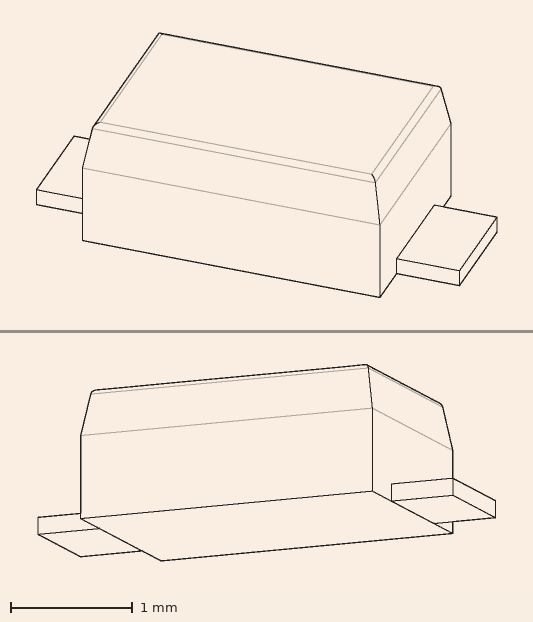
import cadquery as cq
import math

overall_length = 3.7

housing_length = 2.6
housing_width = 1.7
housing_height = 1.1
shoulder_height = 0.7
draft_angle = 10.0
top_edge_radius = 0.05

lead_width = 0.9
lead_thickness = 0.145
lead_length = (overall_length - housing_length) / 2


def make_housing():
    """Straight-walled block with a tapered upper part and a rounded top rim."""
    taper_height = housing_height - shoulder_height
    taper_inset = taper_height * math.tan(math.radians(draft_angle))
    base = cq.Workplane("XY").rect(housing_length, housing_width).extrude(shoulder_height)
    upper = (
        cq.Workplane("XY")
        .workplane(offset=shoulder_height)
        .rect(housing_length, housing_width)
        .workplane(offset=taper_height)
        .rect(housing_length - 2 * taper_inset, housing_width - 2 * taper_inset)
        .loft(ruled=True)
    )
    return base.union(upper).faces(">Z").edges().fillet(top_edge_radius)


def make_lead(side):
    """Flat lead butting against the end wall; side is -1 or +1 along X."""
    center_x = side * (housing_length + lead_length) / 2
    return (
        cq.Workplane("XY")
        .center(center_x, 0)
        .rect(lead_length, lead_width)
        .extrude(lead_thickness)
    )


housing = make_housing()
leads = [make_lead(side) for side in (-1, 1)]

result = cq.Compound.makeCompound([housing.val(), *[lead.val() for lead in leads]])